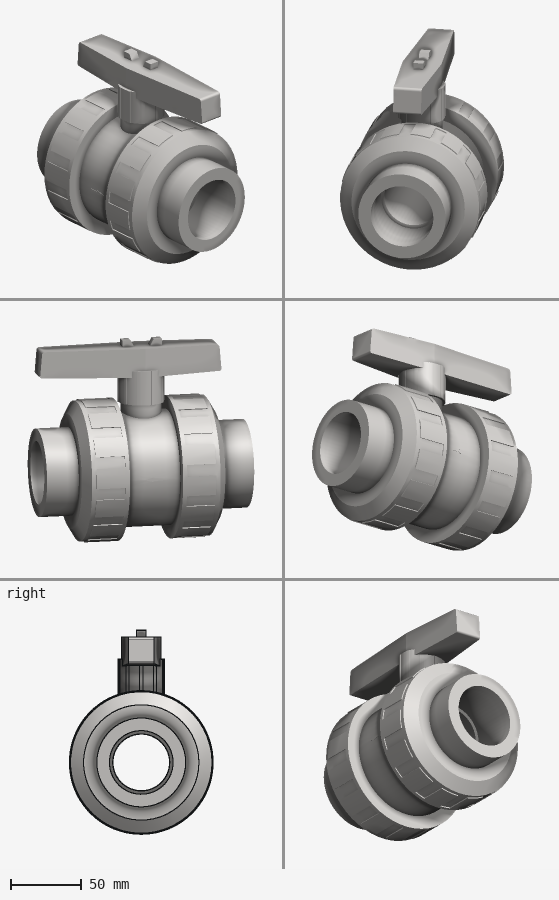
import cadquery as cq
import math

overall_length = 150.0
pipe_radius = 31.4
socket_radius = 22.5
socket_depth = 38.0
bore_radius = 20.0

body_radius = 41.2

nut_inner_face = 19.25
nut_outer_face = 52.0
nut_radius = 50.0
nut_chamfer_length = 5.5
nut_chamfer_radius = 40.75
nut_collar_length = 3.0

tooth_count = 14
tooth_radius = 50.75
tooth_end = 43.25
tooth_angle = 16.2
tooth_phase = 4.75

gap_overlap = 1.0

stem_radius = 14.5
hub_bottom = 48.5
hub_top = 73.0
hub_radius = 16.4
spline_count = 10
spline_radius = 16.75
spline_width = 2.6

handle_top = 88.75
handle_end_bottom = 69.75
handle_middle_bottom = 68.0
handle_left_bottom = -56.15
handle_left_top = -54.5
handle_right_bottom = 75.1
handle_right_top = 73.5
handle_middle_half_width = 14.0
handle_left_half_width = 10.0
handle_right_half_width = 9.0
handle_top_fillet = 2.0
handle_bottom_fillet = 1.5

prong_top = 93.5
prong_outer = 14.25
prong_inner_top = 8.4
prong_inner_bottom = 5.8
prong_width = 7.0

arrow_height = 0.25
arrow_tail = -6.5
arrow_neck = 0.3
arrow_tip = 6.5
arrow_shaft_half_width = 0.8
arrow_head_half_width = 1.6


def x_cylinder(start, end, radius):
    """Solid cylinder along X from start to end."""
    return cq.Workplane("YZ").workplane(offset=start).circle(radius).extrude(end - start)


def rim_point(radius, angle):
    """Point at a radius and an angle in degrees in the YZ plane."""
    return (radius * math.cos(math.radians(angle)), radius * math.sin(math.radians(angle)))


def make_tooth_gap(middle):
    """Ring segment between two teeth, centred on an angle and reaching down below the drum surface."""
    half_gap = (360 / tooth_count - tooth_angle) / 2
    inner = nut_radius - gap_overlap
    outer = tooth_radius + gap_overlap
    gap_start = nut_inner_face + nut_collar_length
    return (
        cq.Workplane("YZ")
        .workplane(offset=gap_start)
        .moveTo(*rim_point(inner, middle - half_gap))
        .lineTo(*rim_point(outer, middle - half_gap))
        .threePointArc(rim_point(outer, middle), rim_point(outer, middle + half_gap))
        .lineTo(*rim_point(inner, middle + half_gap))
        .threePointArc(rim_point(inner, middle), rim_point(inner, middle - half_gap))
        .close()
        .extrude(tooth_end - gap_start)
    )


def make_nut():
    """Union nut on the +X side: a chamfered drum inside a sleeve that carries collar and teeth."""
    chamfer_start = nut_outer_face - nut_chamfer_length
    drum_start = nut_inner_face + nut_collar_length / 2
    drum_profile = [
        (drum_start, 0),
        (drum_start, nut_radius),
        (chamfer_start, nut_radius),
        (nut_outer_face, nut_chamfer_radius),
        (nut_outer_face, 0),
    ]
    drum = cq.Workplane("XY").polyline(drum_profile).close().revolve(360, (0, 0, 0), (1, 0, 0))
    sleeve = x_cylinder(nut_inner_face, tooth_end, tooth_radius)
    pitch = 360 / tooth_count
    for index in range(tooth_count):
        sleeve = sleeve.cut(make_tooth_gap(tooth_phase + (index + 0.5) * pitch))
    return sleeve.union(drum)


def make_hub():
    """Stem rising from the body and the splined hub; each bar carries two opposite splines."""
    stem = cq.Workplane("XY").circle(stem_radius).extrude(hub_bottom)
    hub_height = hub_top - hub_bottom
    base = cq.Workplane("XY").workplane(offset=hub_bottom)
    hub = base.circle(hub_radius).extrude(hub_height)
    splines = base.circle(spline_radius).extrude(hub_height)
    bar_length = 3 * spline_radius
    for index in range(spline_count // 2):
        bar = base.rect(bar_length, spline_width).extrude(hub_height)
        bar = bar.rotate((0, 0, 0), (0, 0, 1), index * 360 / spline_count)
        hub = hub.union(bar.intersect(splines))
    return stem.union(hub)


def make_handle():
    """Lever with sloping ends and underside, tapering in plan from the middle."""
    side = [
        (handle_left_bottom, handle_end_bottom),
        (handle_left_top, handle_top),
        (handle_right_top, handle_top),
        (handle_right_bottom, handle_end_bottom),
        (0, handle_middle_bottom),
    ]
    lever = (
        cq.Workplane("XZ")
        .polyline(side)
        .close()
        .extrude(handle_middle_half_width, both=True)
        .faces(">Z")
        .edges("|Y")
        .fillet(handle_top_fillet)
        .faces("<X or >X")
        .edges("|Y and <Z")
        .fillet(handle_bottom_fillet)
    )
    plan = [
        (handle_left_bottom, -handle_left_half_width),
        (0, -handle_middle_half_width),
        (handle_right_bottom, -handle_right_half_width),
        (handle_right_bottom, handle_right_half_width),
        (0, handle_middle_half_width),
        (handle_left_bottom, handle_left_half_width),
    ]
    return lever.intersect(cq.Workplane("XY").polyline(plan).close().extrude(handle_top))


def make_prong():
    """Prong on the +X side of the handle top, sloping on its inner face."""
    profile = [
        (prong_inner_bottom, handle_top),
        (prong_inner_top, prong_top),
        (prong_outer, prong_top),
        (prong_outer, handle_top),
    ]
    return cq.Workplane("XZ").polyline(profile).close().extrude(prong_width / 2, both=True)


def make_arrows():
    """Flow arrows pointing to +X, raised on the -Y and +Y sides of the body."""
    outline = [
        (arrow_tail, -arrow_shaft_half_width),
        (arrow_neck, -arrow_shaft_half_width),
        (arrow_neck, -arrow_head_half_width),
        (arrow_tip, 0),
        (arrow_neck, arrow_head_half_width),
        (arrow_neck, arrow_shaft_half_width),
        (arrow_tail, arrow_shaft_half_width),
    ]
    return cq.Workplane("XZ").polyline(outline).close().extrude(body_radius + arrow_height, both=True)


def both_ends(solid):
    """The solid together with its mirror image about the YZ plane."""
    return solid.union(solid.mirror("YZ"))


half_length = overall_length / 2
valve = x_cylinder(-half_length, half_length, pipe_radius)
valve = valve.union(x_cylinder(-nut_inner_face, nut_inner_face, body_radius))
right_nut = make_nut()
left_nut = right_nut.rotate((0, 0, 0), (0, 0, 1), 180)
valve = valve.union(right_nut).union(left_nut)
valve = valve.union(make_hub())
valve = valve.union(make_handle())
valve = valve.union(both_ends(make_prong()))
valve = valve.union(make_arrows())
valve = valve.cut(x_cylinder(-half_length, half_length, bore_radius))
valve = valve.cut(both_ends(x_cylinder(half_length - socket_depth, half_length, socket_radius)))

result = valve